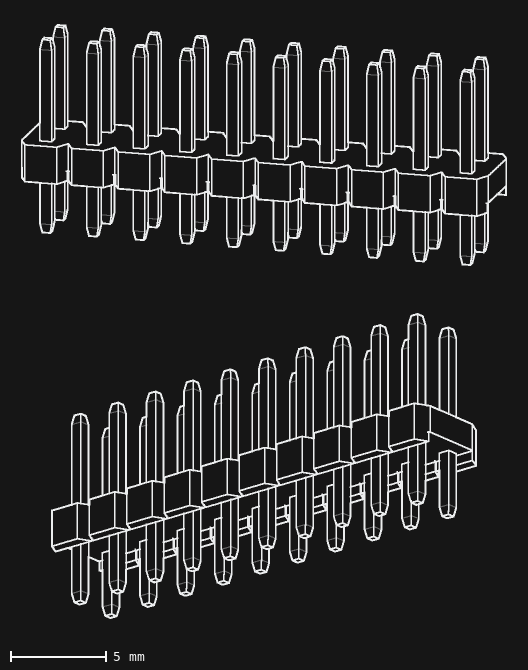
import cadquery as cq

PITCH = 2.55
COLUMNS = 10
ROWS = 2

BODY_LENGTH = COLUMNS * PITCH
BODY_WIDTH = ROWS * PITCH
BODY_HEIGHT = 2.0
NOTCH_DEPTH = 0.81
NOTCH_HALF_WIDTH = 0.4
CHANNEL_DEPTH = 0.53
LEG_THICKNESS = 0.74

PIN_WIDTH = 0.64
PIN_TIP_WIDTH = 0.43
PIN_TIP_LENGTH = 0.5
PIN_TOTAL_LENGTH = 10.5
PIN_BELOW_BODY = 3.0


def make_notch(x, side):
    """V-shaped prism cut into one long side (-1 or 1) of the body at the given x."""
    edge_y = side * BODY_WIDTH / 2
    return (
        cq.Workplane("XY")
        .moveTo(x - NOTCH_HALF_WIDTH, edge_y)
        .lineTo(x, edge_y - side * NOTCH_DEPTH)
        .lineTo(x + NOTCH_HALF_WIDTH, edge_y)
        .close()
        .extrude(BODY_HEIGHT)
    )


def make_body():
    """Notched bar resting on z = 0, with a channel along its whole underside."""
    body = cq.Workplane("XY").box(BODY_LENGTH, BODY_WIDTH, BODY_HEIGHT, centered=(True, True, False))

    for boundary in range(COLUMNS + 1):
        x = boundary * PITCH - BODY_LENGTH / 2
        for side in (-1, 1):
            body = body.cut(make_notch(x, side))

    channel_width = BODY_WIDTH - 2 * LEG_THICKNESS
    channel = cq.Workplane("XY").box(
        BODY_LENGTH, channel_width, CHANNEL_DEPTH, centered=(True, True, False)
    )
    return body.cut(channel)


def make_pin():
    """Square pin on the Z axis, tapered at both ends."""
    shaft_length = PIN_TOTAL_LENGTH - 2 * PIN_TIP_LENGTH
    shaft_bottom = PIN_TIP_LENGTH - PIN_BELOW_BODY
    pin = (
        cq.Workplane("XY")
        .workplane(offset=shaft_bottom)
        .rect(PIN_WIDTH, PIN_WIDTH)
        .extrude(shaft_length)
    )
    for end_face in (">Z", "<Z"):
        pin = (
            pin.faces(end_face)
            .workplane()
            .rect(PIN_WIDTH, PIN_WIDTH)
            .workplane(offset=PIN_TIP_LENGTH)
            .rect(PIN_TIP_WIDTH, PIN_TIP_WIDTH)
            .loft(combine=True)
        )
    return pin


pins = (
    cq.Workplane("XY")
    .rarray(PITCH, PITCH, COLUMNS, ROWS)
    .eachpoint(make_pin().val(), combine=False)
)
result = make_body().union(pins)